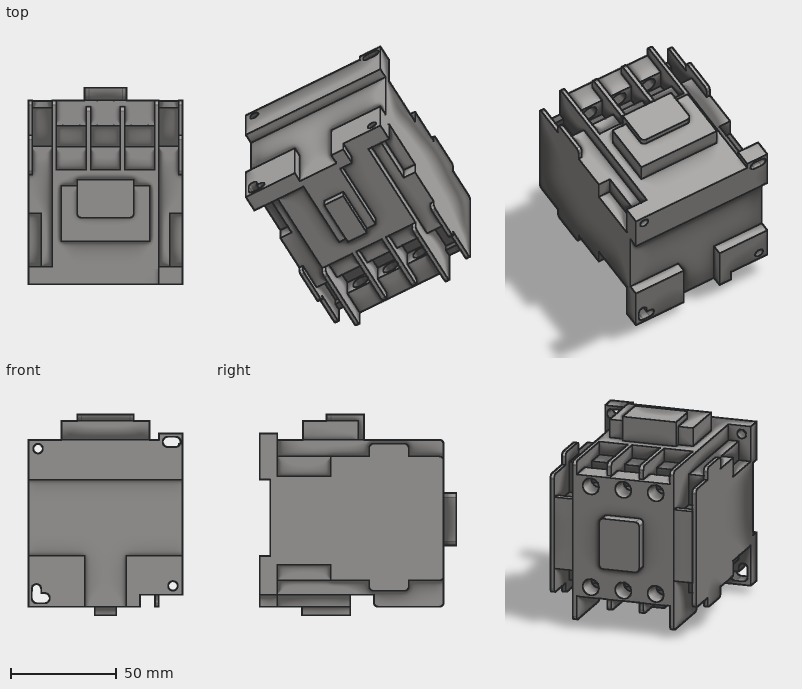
import cadquery as cq

width = 73.0
half_width = width / 2
front_y = 87.0
back_y = 5.0
body_bottom = 5.6
body_top = 79.0
body_mid_z = (body_bottom + body_top) / 2
edge_radius = 2.0

flange_y = 8.4
flange_bottom = 60.1
foot_top = 24.1
foot_inner_x = 9.9
foot_step_x = 16.35
lug_top = 82.0
fixing_x = 31.9
fixing_dia = 4.4
upper_hole_z = 74.8
lower_hole_z = 9.9
upper_slot_x = 31.3
lower_slot_x = -30.6
slot_length = 8.4
slot_width = 4.7
upper_slot_z = 78.0
lower_slot_z = 4.1
slot_leg_width = 4.3
slot_leg_top = 10.7

pole_wall_outer_x = 25.3
pole_wall_inner_x = 23.4
side_plate_thickness = 1.9
side_plate_inner_x = half_width - side_plate_thickness

ledge_top = 71.1
ledge_bottom = 12.5
tab_back_y = 51.8
tab_front_y = 70.5
tab_top = 77.1
tab_bottom = 7.6
notch_front_y = 33.5
notch_depth = 6.1
notch_top_floor = 61.7
notch_bottom_ceiling = 20.0

recess_back_y = 65.2
sill_back_y = 83.4
sill_front_y = 86.7
recess_floor = 56.0
sill_top = 60.0

divider_inner_x = 7.0
divider_outer_x = 9.1
divider_end_y = 84.0
bay_back_y = 54.1
bay_step_y = 65.0
terminal_back_y = 75.0
terminal_top = 72.5
bay_floor = 62.0
wire_hole_dia = 8.0
wire_hole_z = 67.3

rib_back_y = 54.0
release_front_y = 42.9
clip_back_y = 20.0
clip_width = 10.3
clip_bottom = -4.1

block_width = 41.8
block_back_y = 20.4
block_front_y = 46.5
block_top = 88.0
cover_width = 26.8
cover_back_y = 31.5
cover_front_y = 49.4
cover_top = 91.0
button_width = 20.0
button_bottom = 29.0
button_top = 53.9
button_front_y = 93.0


def box(x0, x1, y0, y1, z0, z1):
    """Box between two opposite corners."""
    return cq.Workplane("XY").box(x1 - x0, y1 - y0, z1 - z0, centered=False).translate((x0, y0, z0))


def mirror_x(shape):
    return shape.mirror("YZ")


def mirror_z(shape):
    """Mirror between the upper and lower halves of the housing."""
    return shape.mirror("XY", (0, 0, body_mid_z))


def both_sides(shape):
    return shape.union(mirror_x(shape))


def top_and_bottom(shape):
    return shape.union(mirror_z(shape))


def hole_along_y(x, z, diameter, y0, y1):
    return cq.Workplane("XZ", origin=(x, y0, z)).circle(diameter / 2).extrude(y0 - y1)


def slot_along_y(x, z, length, slot_height, y0, y1):
    return cq.Workplane("XZ", origin=(x, y0, z)).slot2D(length, slot_height).extrude(y0 - y1)


def cut_side_ledges(body):
    upper = box(pole_wall_outer_x, half_width, flange_y, front_y, ledge_top, body_top)
    lower = box(pole_wall_outer_x, half_width, flange_y, front_y, body_bottom, ledge_bottom)
    return body.cut(both_sides(upper)).cut(both_sides(lower))


def round_front_corners(body):
    """Round the front ends of the side plates and of the outer pole walls."""
    plate = box(side_plate_inner_x, half_width, back_y, front_y, ledge_bottom, ledge_top)
    rounded_plate = plate.edges("|X and >Y").fillet(edge_radius)
    wall = box(pole_wall_inner_x, pole_wall_outer_x, back_y, front_y, body_bottom, body_top)
    rounded_wall = wall.edges("|X and >Y and >Z").fillet(edge_radius)
    return body.cut(both_sides(plate.cut(rounded_plate))).cut(both_sides(wall.cut(rounded_wall)))


def add_side_tabs(body):
    tab = box(side_plate_inner_x, half_width, tab_back_y, tab_front_y, tab_bottom, tab_top)
    tab = tab.edges("|X").fillet(edge_radius)
    core = box(side_plate_inner_x, half_width, tab_back_y, tab_front_y, ledge_bottom, ledge_top)
    return body.union(both_sides(tab.union(core)))


def cut_side_notches(body):
    inner_x = half_width - notch_depth
    upper = box(inner_x, half_width, flange_y, notch_front_y, notch_top_floor, ledge_top)
    lower = box(inner_x, half_width, flange_y, notch_front_y, ledge_bottom, notch_bottom_ceiling)
    return body.cut(both_sides(upper)).cut(both_sides(lower))


def cut_side_terminals(body):
    """Recesses with a front sill, between the side plates and the outer pole walls."""
    x0, x1 = pole_wall_outer_x, side_plate_inner_x
    recess = box(x0, x1, recess_back_y, sill_back_y, recess_floor, body_top)
    above_sill = box(x0, x1, sill_back_y, front_y, sill_top, body_top)
    front_relief = box(x0, x1, sill_front_y, front_y, body_bottom, body_top)
    recess = recess.union(above_sill).union(front_relief)
    return body.cut(both_sides(top_and_bottom(recess)))


def terminal_bay(x0, x1):
    """Open bay with a rear step, a deep pocket and a terminal with a wire hole."""
    bay = box(x0, x1, bay_back_y, front_y, terminal_top, body_top)
    pocket = box(x0, x1, bay_step_y, terminal_back_y, bay_floor, body_top)
    wire_hole = hole_along_y((x0 + x1) / 2, wire_hole_z, wire_hole_dia, terminal_back_y, front_y)
    return bay.union(pocket).union(wire_hole)


def divider_front_relief():
    """Clears the space in front of a divider and rounds its upper front corner."""
    space = box(divider_inner_x, divider_outer_x, bay_back_y, front_y, terminal_top, body_top)
    divider = box(divider_inner_x, divider_outer_x, bay_back_y, divider_end_y, terminal_top, body_top)
    divider = divider.edges("|X and >Y and >Z").fillet(edge_radius)
    return space.cut(divider)


def cut_terminal_bays(body):
    outer_bay = terminal_bay(divider_outer_x, pole_wall_inner_x)
    centre_bay = terminal_bay(-divider_inner_x, divider_inner_x)
    bays = both_sides(outer_bay.union(divider_front_relief())).union(centre_bay)
    return body.cut(top_and_bottom(bays))


def add_lower_ribs(body):
    """Extend the outer pole walls below the housing near the front."""
    rib = box(pole_wall_inner_x, pole_wall_outer_x, rib_back_y, front_y, 0, ledge_bottom)
    rib = rib.edges("|X and <Z").fillet(edge_radius)
    return body.union(both_sides(rib))


def add_release_block(body):
    block = box(-foot_inner_x, foot_inner_x, back_y, release_front_y, 0, body_bottom)
    clip = box(-clip_width / 2, clip_width / 2, clip_back_y, release_front_y, clip_bottom, body_bottom)
    return body.union(block).union(clip)


def add_mounting_flange(body):
    flange = box(-half_width, half_width, 0, flange_y, flange_bottom, body_top)
    lug = box(pole_wall_outer_x, half_width, 0, flange_y, flange_bottom, lug_top)
    left_foot = box(-half_width, -foot_inner_x, 0, flange_y, 0, foot_top)
    right_foot = box(foot_inner_x, half_width, 0, flange_y, body_bottom, foot_top)
    right_toe = box(foot_inner_x, foot_step_x, 0, flange_y, 0, foot_top)
    for piece in (flange, lug, left_foot, right_foot, right_toe):
        body = body.union(piece)
    return body


def cut_fixing_holes(body):
    leg_left_x = lower_slot_x - slot_length / 2
    leg_right_x = leg_left_x + slot_leg_width
    leg_round_x = (leg_left_x + leg_right_x) / 2
    leg_round_z = slot_leg_top - slot_leg_width / 2
    leg = box(leg_left_x, leg_right_x, 0, flange_y, lower_slot_z, leg_round_z)
    cutters = (
        hole_along_y(-fixing_x, upper_hole_z, fixing_dia, 0, flange_y),
        hole_along_y(fixing_x, lower_hole_z, fixing_dia, 0, flange_y),
        slot_along_y(upper_slot_x, upper_slot_z, slot_length, slot_width, 0, flange_y),
        slot_along_y(lower_slot_x, lower_slot_z, slot_length, slot_width, 0, flange_y),
        leg,
        hole_along_y(leg_round_x, leg_round_z, slot_leg_width, 0, flange_y),
    )
    for cutter in cutters:
        body = body.cut(cutter)
    return body


def add_top_cover(body):
    block = box(-block_width / 2, block_width / 2, block_back_y, block_front_y, body_top, block_top)
    cover = box(-cover_width / 2, cover_width / 2, cover_back_y, cover_front_y, body_top, cover_top)
    cover = cover.edges("|Z and <Y").fillet(edge_radius)
    return body.union(block).union(cover)


def add_front_button(body):
    half = button_width / 2
    button = box(-half, half, front_y, button_front_y, button_bottom, button_top)
    return body.union(button.edges("|Y").fillet(edge_radius))


result = box(-half_width, half_width, back_y, front_y, body_bottom, body_top)
result = cut_side_ledges(result)
result = round_front_corners(result)
result = cut_side_notches(result)
result = cut_side_terminals(result)
result = cut_terminal_bays(result)
result = add_side_tabs(result)
result = add_lower_ribs(result)
result = add_mounting_flange(result)
result = cut_fixing_holes(result)
result = add_release_block(result)
result = add_top_cover(result)
result = add_front_button(result)